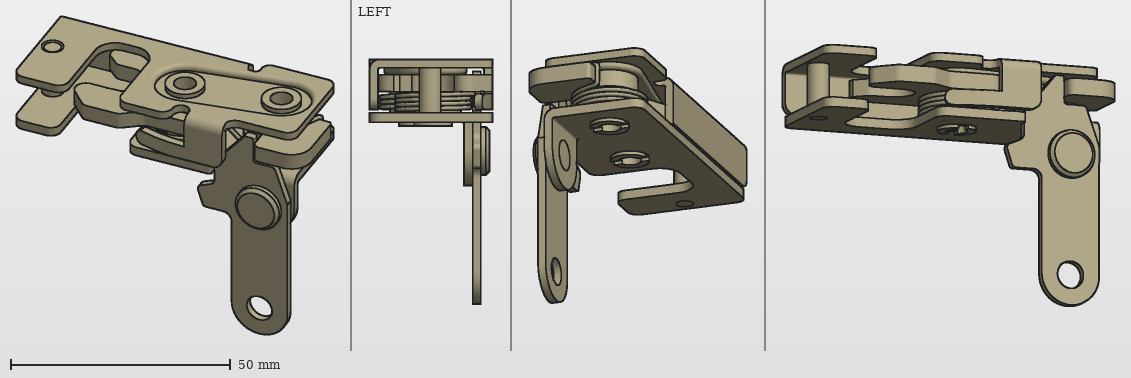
import cadquery as cq
import math

LENGTH = 72.25
WIDTH = 28.0
BASE_THICKNESS = 2.25
SHEET = 1.95
COVER_TOP = 14.4
COVER_UNDERSIDE = COVER_TOP - SHEET
EMBOSS_DEPTH = 1.5
LATCH_TOP = COVER_UNDERSIDE - EMBOSS_DEPTH
LATCH_BOTTOM = 7.0
FLANGE_BOTTOM = 2.9

PLATE_LENGTH = 68.5
CORNER_RADIUS = 2.5
SLOT_CORNER_RADIUS = 5.0
INNER_BEND = 0.5
CLAW_PIVOT = (37.0, 13.5)
PAWL_PIVOT = (59.5, 17.05)
PIVOT_SPAN = math.dist(CLAW_PIVOT, PAWL_PIVOT)
PIVOT_TILT = math.degrees(math.atan2(PAWL_PIVOT[1] - CLAW_PIVOT[1], PAWL_PIVOT[0] - CLAW_PIVOT[0]))
PIVOT_DIAMETER = 9.1

COVER_SLOT = (12.9, 26.0)
COVER_SLOT_END = 21.95
FLANGE_END = 47.45
REAR_NOTCH_WIDTH = 3.0
REAR_NOTCH_Y = 24.05
REAR_NOTCH_RADIUS = 1.3
REAR_CORNER_RADIUS = 1.95
TAB_START = 42.9
TAB_END = 52.45
RELIEF_DIAMETER = 4.0
RELIEF_END_Y = 4.6
STEP_Y = 4.1
RECESS_RADIUS = 6.9
RECESS_RIM_FILLET = 1.1
BOSS_RADIUS = 7.65
BOSS_FILLET = 0.95
STRIP_TOP = 6.5
STRIP_LENGTH = 13.1
STRIP_BEND_RADIUS = 36.85
STRIP_END_FILLET = 1.7

BASE_SLOT = (10.9, 28.0)
BASE_SLOT_END = 20.6
FRONT_SETBACK = 1.0
FRONT_EDGE_END = 49.1
FRONT_EDGE_FILLET = 0.65

PIN_CENTER = (3.5, 14.2)
PIN_DIAMETER = 5.0
PIN_NECK_DIAMETER = 4.0
PIN_COUNTERSINK_DEPTH = 0.2

BUSHING_HOLE = 5.1
COLLAR_DIAMETER = 12.7
BUSHING_FOOT_DIAMETER = 8.9
BUSHING_TOP = COVER_TOP - 0.35
FOOT_HEIGHT = 0.9
FOOT_SLOT = 2.4

LEVER_FRONT_Y = 2.7
LEVER_THICKNESS = 1.9
LEVER_BACK_Y = LEVER_FRONT_Y + LEVER_THICKNESS
BRACKET_BACK_Y = LEVER_BACK_Y + SHEET
LEVER_X = 60.6
LEVER_PIVOT_Z = -6.5
LEVER_HOLE_Z = -34.4
LEVER_RADIUS = 7.0
LEVER_HOLE = 6.3
BRACKET_RADIUS = PLATE_LENGTH - LEVER_X
RIVET_HEAD_DIAMETER = 11.0
RIVET_HEAD_HEIGHT = 2.0
RIVET_HEAD_CHAMFER = 0.9
RIVET_SHANK_DIAMETER = 7.0

THROAT_RADIUS = 4.85
THROAT_X = 21.7
NOSE_RADIUS = 2.6
BACK_GAP = 0.15

PAWL_HUB_RADIUS = 6.5
FINGER_LEFT = 59.75
FINGER_FRONT = 0.7
FINGER_OUTER_RADIUS = 5.0
FINGER_TIP_FILLET = 1.6
FINGER_BACK_FILLET = 0.9
FINGER_ROOT_FILLET = 2.2

WIRE_DIAMETER = 1.0
COIL_RADIUS = 8.2
COIL_BOTTOM_Z = BASE_THICKNESS + 0.6
ARM_Z = LATCH_BOTTOM - WIRE_DIAMETER / 2
FULL_TURNS = 3
CLAW_ARM_ANGLE = 241.5
CLAW_ARM_LENGTH = 4.0
HOOK_CORNER = (69.1, 17.7)
HOOK_END = (66.8, 13.1)
HOOK_BEND = 0.7


def near(x, y, z):
    return cq.selectors.NearestToPointSelector((x, y, z))


def disc(center, diameter, bottom, top):
    return cq.Workplane("XY", origin=(*center, bottom)).circle(diameter / 2).extrude(top - bottom)


def capsule(radius, bottom, top):
    """Two pivot discs of one radius joined by the block between their outer tangents."""
    shape = cq.Workplane("XY").center(PIVOT_SPAN / 2, 0).slot2D(PIVOT_SPAN + 2 * radius, 2 * radius)
    shape = shape.extrude(top - bottom)
    return shape.rotate((0, 0, 0), (0, 0, 1), PIVOT_TILT).translate((*CLAW_PIVOT, bottom))


def striker_slot(sides, end_y, right_front_y, bottom, top):
    """Cutter for the open slot in a plate's front edge, with its flared mouth corners.

    The edge right of the slot lies at right_front_y, the edge left of it at zero.
    """
    left, right = sides
    flare = CORNER_RADIUS
    return (
        cq.Workplane("XY", origin=(0, 0, bottom))
        .moveTo(left - flare, 0)
        .radiusArc((left, flare), -flare)
        .lineTo(left, end_y - SLOT_CORNER_RADIUS)
        .radiusArc((left + SLOT_CORNER_RADIUS, end_y), SLOT_CORNER_RADIUS)
        .lineTo(right - SLOT_CORNER_RADIUS, end_y)
        .radiusArc((right, end_y - SLOT_CORNER_RADIUS), SLOT_CORNER_RADIUS)
        .lineTo(right, right_front_y + flare)
        .radiusArc((right + flare, right_front_y), -flare)
        .lineTo(right, 0)
        .close()
        .extrude(top - bottom)
    )


def pivot_holes(diameter):
    """Cutters for the two pivots, through the whole stack."""
    first = disc(CLAW_PIVOT, diameter, -COVER_TOP, 2 * COVER_TOP)
    return first.union(disc(PAWL_PIVOT, diameter, -COVER_TOP, 2 * COVER_TOP))


def make_cover_plate():
    notch_end = FLANGE_END + REAR_NOTCH_WIDTH
    relief_start = TAB_START - RELIEF_DIAMETER
    relief_radius = RELIEF_DIAMETER / 2
    relief_center_y = RELIEF_END_Y - relief_radius
    plate = (
        cq.Workplane("XY", origin=(0, 0, COVER_UNDERSIDE))
        .moveTo(0, 0)
        .lineTo(relief_start, 0)
        .lineTo(relief_start, relief_center_y)
        .radiusArc((TAB_START, relief_center_y), relief_radius)
        .lineTo(TAB_START, 0)
        .lineTo(TAB_END, 0)
        .lineTo(TAB_END, STEP_Y)
        .lineTo(PLATE_LENGTH, STEP_Y)
        .lineTo(PLATE_LENGTH, WIDTH)
        .lineTo(notch_end, WIDTH)
        .lineTo(notch_end, REAR_NOTCH_Y)
        .lineTo(FLANGE_END, REAR_NOTCH_Y)
        .lineTo(FLANGE_END, WIDTH)
        .lineTo(0, WIDTH)
        .close()
        .extrude(SHEET)
    )
    for x, y, radius in (
        (0, 0, CORNER_RADIUS),
        (relief_start, 0, CORNER_RADIUS),
        (TAB_END, STEP_Y, CORNER_RADIUS),
        (PLATE_LENGTH, STEP_Y, CORNER_RADIUS),
        (PLATE_LENGTH, WIDTH, CORNER_RADIUS),
        (notch_end, WIDTH, REAR_CORNER_RADIUS),
        (notch_end, REAR_NOTCH_Y, REAR_NOTCH_RADIUS),
        (FLANGE_END, REAR_NOTCH_Y, REAR_NOTCH_RADIUS),
    ):
        plate = plate.edges("|Z").edges(near(x, y, COVER_TOP - SHEET / 2)).fillet(radius)
    return plate.cut(striker_slot(COVER_SLOT, COVER_SLOT_END, 0, COVER_UNDERSIDE, COVER_TOP))


def make_flange(start, end, y, rounded_corners):
    """Upright sheet hanging from the cover, with the named lower corners rounded."""
    height = COVER_TOP - FLANGE_BOTTOM
    flange = cq.Workplane("XY").box(end - start, SHEET, height, centered=False)
    flange = flange.translate((start, y, FLANGE_BOTTOM))
    for x in rounded_corners:
        flange = flange.edges("|Y").edges(near(x, y, FLANGE_BOTTOM)).fillet(CORNER_RADIUS)
    return flange


def make_guide_strip():
    """Curved strip that leaves the front tab toward -X and bends inward, with a rounded end."""
    sweep = math.asin(STRIP_LENGTH / STRIP_BEND_RADIUS)
    inner_radius = STRIP_BEND_RADIUS - SHEET

    def on_arc(radius, angle):
        return (TAB_START - radius * math.sin(angle), STRIP_BEND_RADIUS - radius * math.cos(angle))

    strip = (
        cq.Workplane("XY", origin=(0, 0, FLANGE_BOTTOM))
        .moveTo(*on_arc(STRIP_BEND_RADIUS, 0))
        .threePointArc(on_arc(STRIP_BEND_RADIUS, sweep / 2), on_arc(STRIP_BEND_RADIUS, sweep))
        .lineTo(*on_arc(inner_radius, sweep))
        .threePointArc(on_arc(inner_radius, sweep / 2), on_arc(inner_radius, 0))
        .close()
        .extrude(STRIP_TOP - FLANGE_BOTTOM)
    )
    end = on_arc(STRIP_BEND_RADIUS - SHEET / 2, sweep)
    for z in (FLANGE_BOTTOM, STRIP_TOP):
        strip = strip.edges(near(*end, z)).fillet(STRIP_END_FILLET)
    return strip


def make_cover():
    rear_y = WIDTH - SHEET
    cover = make_cover_plate()
    cover = cover.union(make_flange(0, FLANGE_END, rear_y, [0]))
    cover = cover.union(make_flange(TAB_START, TAB_END, 0, [TAB_END]))
    for middle, outer_y, inner_y in (
        (FLANGE_END / 2, WIDTH, rear_y),
        ((TAB_START + TAB_END) / 2, 0, SHEET),
    ):
        cover = cover.edges(near(middle, outer_y, COVER_TOP)).fillet(SHEET + INNER_BEND)
        cover = cover.edges(near(middle, inner_y, COVER_UNDERSIDE)).fillet(INNER_BEND)
    cover = cover.union(make_guide_strip())

    boss = capsule(BOSS_RADIUS, LATCH_TOP, COVER_UNDERSIDE).faces("<Z").edges().fillet(BOSS_FILLET)
    recess = capsule(RECESS_RADIUS, COVER_TOP - EMBOSS_DEPTH, COVER_TOP)
    cover = cover.union(boss).cut(recess)
    rim_x = (CLAW_PIVOT[0] + PAWL_PIVOT[0]) / 2
    rim_y = (CLAW_PIVOT[1] + PAWL_PIVOT[1]) / 2 + RECESS_RADIUS
    cover = cover.edges(near(rim_x, rim_y, COVER_TOP)).fillet(RECESS_RIM_FILLET)

    cover = cover.cut(pivot_holes(PIVOT_DIAMETER))
    countersink_bottom = COVER_TOP - PIN_COUNTERSINK_DEPTH
    pin_hole = disc(PIN_CENTER, PIN_NECK_DIAMETER, COVER_UNDERSIDE, COVER_TOP)
    countersink = (
        cq.Workplane("XY", origin=(*PIN_CENTER, countersink_bottom))
        .circle(PIN_NECK_DIAMETER / 2)
        .workplane(offset=PIN_COUNTERSINK_DEPTH)
        .circle(PIN_DIAMETER / 2)
        .loft()
    )
    return cover.cut(pin_hole).cut(countersink)


def make_base():
    base = (
        cq.Workplane("XY")
        .moveTo(0, 0)
        .lineTo(BASE_SLOT[1], 0)
        .lineTo(BASE_SLOT[1], FRONT_SETBACK)
        .lineTo(FRONT_EDGE_END, FRONT_SETBACK)
        .lineTo(FRONT_EDGE_END, LEVER_BACK_Y)
        .lineTo(PLATE_LENGTH, LEVER_BACK_Y)
        .lineTo(PLATE_LENGTH, WIDTH)
        .lineTo(0, WIDTH)
        .close()
        .extrude(BASE_THICKNESS)
    )
    for x, y, radius in (
        (0, 0, CORNER_RADIUS),
        (0, WIDTH, CORNER_RADIUS),
        (PLATE_LENGTH, WIDTH, CORNER_RADIUS),
        (FRONT_EDGE_END, FRONT_SETBACK, FRONT_EDGE_FILLET),
    ):
        base = base.edges("|Z").edges(near(x, y, BASE_THICKNESS / 2)).fillet(radius)
    base = base.cut(striker_slot(BASE_SLOT, BASE_SLOT_END, FRONT_SETBACK, 0, BASE_THICKNESS))

    bracket = (
        cq.Workplane("XZ", origin=(0, BRACKET_BACK_Y, 0))
        .moveTo(PLATE_LENGTH, BASE_THICKNESS)
        .lineTo(PLATE_LENGTH, LEVER_PIVOT_Z)
        .radiusArc((LEVER_X - BRACKET_RADIUS, LEVER_PIVOT_Z), BRACKET_RADIUS)
        .lineTo(LEVER_X - BRACKET_RADIUS, BASE_THICKNESS)
        .close()
        .extrude(SHEET)
    )
    base = base.union(bracket)
    base = base.edges("|X").edges(near(LEVER_X, BRACKET_BACK_Y, 0)).fillet(INNER_BEND)
    bend_blank = (
        cq.Workplane("YZ", origin=(LEVER_X - BRACKET_RADIUS, LEVER_BACK_Y, BASE_THICKNESS))
        .lineTo(SHEET + INNER_BEND, 0)
        .radiusArc((0, -SHEET - INNER_BEND), -SHEET - INNER_BEND)
        .close()
        .extrude(2 * BRACKET_RADIUS)
    )
    base = base.cut(bend_blank)

    base = base.cut(pivot_holes(BUSHING_FOOT_DIAMETER))
    base = base.cut(disc(PIN_CENTER, PIN_NECK_DIAMETER, 0, BASE_THICKNESS))
    return base.cut(rivet_rod(RIVET_SHANK_DIAMETER, LEVER_BACK_Y, BRACKET_BACK_Y))


def make_pin():
    neck = disc(PIN_CENTER, PIN_NECK_DIAMETER, 0, COVER_TOP - PIN_COUNTERSINK_DEPTH)
    return neck.union(disc(PIN_CENTER, PIN_DIAMETER, BASE_THICKNESS, COVER_UNDERSIDE))


def make_bushing(center):
    bushing = disc(center, BUSHING_FOOT_DIAMETER, -FOOT_HEIGHT, BASE_THICKNESS)
    bushing = bushing.union(disc(center, COLLAR_DIAMETER, BASE_THICKNESS, LATCH_BOTTOM))
    bushing = bushing.union(disc(center, PIVOT_DIAMETER, LATCH_BOTTOM, BUSHING_TOP))
    foot_slot = cq.Workplane("XY").box(FOOT_SLOT, PIVOT_DIAMETER, FOOT_HEIGHT)
    bushing = bushing.cut(foot_slot.translate((*center, -FOOT_HEIGHT / 2)))
    return bushing.cut(disc(center, BUSHING_HOLE, -FOOT_HEIGHT, BUSHING_TOP))


def make_claw():
    throat_y = CLAW_PIVOT[1]
    jaw_low = throat_y - THROAT_RADIUS
    jaw_high = throat_y + THROAT_RADIUS
    back_y = WIDTH - SHEET - BACK_GAP
    tail_front = 3.5
    tail_end = 45.9
    step_x = 31.5
    jaw_front_start = 17.6
    jaw_front_end = 26.5
    jaw_root_x = 17.7
    nose_x = 15.5
    nose_y = jaw_low - NOSE_RADIUS
    nose_slant = NOSE_RADIUS * math.sqrt(0.5)
    claw = (
        cq.Workplane("XY", origin=(0, 0, LATCH_BOTTOM))
        .moveTo(nose_x, jaw_low)
        .lineTo(THROAT_X, jaw_low)
        .radiusArc((THROAT_X, jaw_high), -THROAT_RADIUS)
        .lineTo(jaw_root_x, jaw_high)
        .lineTo(14.6, 21.2)
        .lineTo(14.3, 22.5)
        .lineTo(14.7, 23.55)
        .threePointArc((15.7, 25.15), (17.7, back_y))
        .lineTo(33.2, back_y)
        .lineTo(tail_end, 19.5)
        .lineTo(tail_end, tail_front)
        .lineTo(step_x, tail_front)
        .lineTo(jaw_front_end, 0)
        .lineTo(jaw_front_start, 0)
        .lineTo(nose_x - nose_slant, nose_y - nose_slant)
        .threePointArc((nose_x - NOSE_RADIUS, nose_y), (nose_x, jaw_low))
        .close()
        .extrude(LATCH_TOP - LATCH_BOTTOM)
    )
    for x, y, radius in (
        (jaw_root_x, jaw_high, 1.45),
        (tail_end, tail_front, 4.3),
        (step_x, tail_front, 2.2),
        (jaw_front_end, 0, 2.5),
        (jaw_front_start, 0, 2.0),
    ):
        claw = claw.edges("|Z").edges(near(x, y, LATCH_BOTTOM)).fillet(radius)
    return claw.cut(pivot_holes(PIVOT_DIAMETER))


def make_pawl():
    hub = disc(PAWL_PIVOT, 2 * PAWL_HUB_RADIUS, LATCH_BOTTOM, LATCH_TOP)
    finger_size = (LENGTH - FINGER_LEFT, PAWL_PIVOT[1] - FINGER_FRONT, LATCH_TOP - LATCH_BOTTOM)
    finger = cq.Workplane("XY").box(*finger_size, centered=False)
    finger = finger.translate((FINGER_LEFT, FINGER_FRONT, LATCH_BOTTOM))
    for x, y, radius in (
        (LENGTH, FINGER_FRONT, FINGER_OUTER_RADIUS),
        (FINGER_LEFT, FINGER_FRONT, FINGER_TIP_FILLET),
        (LENGTH, PAWL_PIVOT[1], FINGER_BACK_FILLET),
    ):
        finger = finger.edges("|Z").edges(near(x, y, LATCH_BOTTOM)).fillet(radius)
    pawl = hub.union(finger)
    hub_front = PAWL_PIVOT[1] - PAWL_HUB_RADIUS
    middle_z = (LATCH_BOTTOM + LATCH_TOP) / 2
    pawl = pawl.edges("|Z").edges(near(FINGER_LEFT, hub_front, middle_z)).fillet(FINGER_ROOT_FILLET)
    return pawl.cut(pivot_holes(PIVOT_DIAMETER))


def coil_edge(center, start, end):
    """Rising counterclockwise helix from one angle to another, in degrees."""
    turns = (end - start) / 360
    rise = ARM_Z - COIL_BOTTOM_Z
    helix = cq.Wire.makeHelix(rise / turns, rise, COIL_RADIUS).Edges()[0]
    return helix.rotate(cq.Vector(), cq.Vector(0, 0, 1), start).translate(cq.Vector(*center, COIL_BOTTOM_Z))


def on_coil(center, angle, z):
    turn = math.radians(angle)
    return cq.Vector(center[0] + COIL_RADIUS * math.cos(turn), center[1] + COIL_RADIUS * math.sin(turn), z)


def make_spring():
    """One wire: a coil about each pivot, a crossing bridge below and an arm on each coil above."""
    claw_start = PIVOT_TILT + math.degrees(math.acos(2 * COIL_RADIUS / PIVOT_SPAN))
    pawl_start = claw_start + 180
    hook_reach = math.dist(PAWL_PIVOT, HOOK_CORNER)
    hook_angle = math.degrees(math.atan2(HOOK_CORNER[1] - PAWL_PIVOT[1], HOOK_CORNER[0] - PAWL_PIVOT[0]))
    pawl_arm_angle = 360 + hook_angle - math.degrees(math.acos(COIL_RADIUS / hook_reach))

    claw_end = on_coil(CLAW_PIVOT, CLAW_ARM_ANGLE, ARM_Z)
    heading = math.radians(CLAW_ARM_ANGLE + 90)
    claw_tip = claw_end + cq.Vector(math.cos(heading), math.sin(heading), 0) * CLAW_ARM_LENGTH
    claw_arm = cq.Edge.makeLine(claw_tip, claw_end)
    claw_coil = coil_edge(CLAW_PIVOT, claw_start, CLAW_ARM_ANGLE + 360 * FULL_TURNS)
    bridge = cq.Edge.makeLine(
        on_coil(CLAW_PIVOT, claw_start, COIL_BOTTOM_Z), on_coil(PAWL_PIVOT, pawl_start, COIL_BOTTOM_Z)
    )
    pawl_coil = coil_edge(PAWL_PIVOT, pawl_start, pawl_arm_angle + 360 * FULL_TURNS)

    over_z = LATCH_TOP + WIRE_DIAMETER / 2
    pawl_end = on_coil(PAWL_PIVOT, pawl_arm_angle, ARM_Z)
    low = cq.Vector(*HOOK_CORNER, ARM_Z)
    high = cq.Vector(*HOOK_CORNER, over_z)
    tip = cq.Vector(*HOOK_END, over_z)
    up = cq.Vector(0, 0, HOOK_BEND)
    before = low - (low - pawl_end).normalized() * HOOK_BEND
    after = high + (tip - high).normalized() * HOOK_BEND
    hook = [
        cq.Edge.makeLine(pawl_end, before),
        cq.Edge.makeTangentArc(before, low - pawl_end, low + up),
        cq.Edge.makeLine(low + up, high - up),
        cq.Edge.makeTangentArc(high - up, up, after),
        cq.Edge.makeLine(after, tip),
    ]
    path = cq.Wire.assembleEdges([claw_arm, claw_coil, bridge, pawl_coil, *hook])
    section = cq.Workplane(cq.Plane(claw_tip, normal=claw_end - claw_tip)).circle(WIRE_DIAMETER / 2)
    return section.sweep(cq.Workplane(path), transition="transformed")


def rivet_rod(diameter, front_y, back_y):
    rod = cq.Workplane("XZ", origin=(LEVER_X, back_y, LEVER_PIVOT_Z)).circle(diameter / 2)
    return rod.extrude(back_y - front_y)


def make_lever():
    left = LEVER_X - LEVER_RADIUS
    right = LEVER_X + LEVER_RADIUS
    tip_right = 59.0
    tip_z = 11.6
    tip_left = 56.9
    shoulder_right = 64.4
    shoulder_z = 5.05
    neck_left = 49.35
    neck_z = -3.5
    nub_left = 44.85
    nub_z = -5.3
    heel_x = 46.5
    heel_z = -10.4
    lever = (
        cq.Workplane("XZ", origin=(0, LEVER_BACK_Y, 0))
        .moveTo(right, LEVER_HOLE_Z)
        .radiusArc((left, LEVER_HOLE_Z), LEVER_RADIUS)
        .lineTo(left, heel_z)
        .lineTo(heel_x, heel_z)
        .lineTo(nub_left, nub_z)
        .lineTo(neck_left, neck_z)
        .lineTo(neck_left, 2.6)
        .lineTo(tip_left, tip_z)
        .lineTo(tip_right, tip_z)
        .lineTo(tip_right, shoulder_z)
        .lineTo(shoulder_right, shoulder_z)
        .lineTo(right, -4.2)
        .close()
        .extrude(LEVER_THICKNESS)
    )
    for x, z, radius in (
        (left, heel_z, 2.2),
        (heel_x, heel_z, 1.0),
        (nub_left, nub_z, 1.15),
        (neck_left, neck_z, 1.8),
        (tip_left, tip_z, 0.35),
        (tip_right, tip_z, 0.35),
        (tip_right, shoulder_z, 0.9),
        (shoulder_right, shoulder_z, 1.1),
    ):
        lever = lever.edges("|Y").edges(near(x, LEVER_FRONT_Y, z)).fillet(radius)
    hole = cq.Workplane("XZ", origin=(LEVER_X, LEVER_BACK_Y, LEVER_HOLE_Z)).circle(LEVER_HOLE / 2)
    lever = lever.cut(hole.extrude(LEVER_THICKNESS))
    return lever.cut(rivet_rod(RIVET_SHANK_DIAMETER, LEVER_FRONT_Y, LEVER_BACK_Y))


def make_rivet():
    head = rivet_rod(RIVET_HEAD_DIAMETER, LEVER_FRONT_Y - RIVET_HEAD_HEIGHT, LEVER_FRONT_Y)
    head = head.faces("<Y").chamfer(RIVET_HEAD_CHAMFER)
    return head.union(rivet_rod(RIVET_SHANK_DIAMETER, LEVER_FRONT_Y, BRACKET_BACK_Y))


cover = make_cover()
base = make_base()
pin = make_pin()
bushings = [make_bushing(center) for center in (CLAW_PIVOT, PAWL_PIVOT)]
claw = make_claw()
pawl = make_pawl()
spring = make_spring()
lever = make_lever()
rivet = make_rivet()

bodies = [cover, base, pin, *bushings, claw, pawl, spring, lever, rivet]
result = cq.Compound.makeCompound([body.solids().val() for body in bodies])